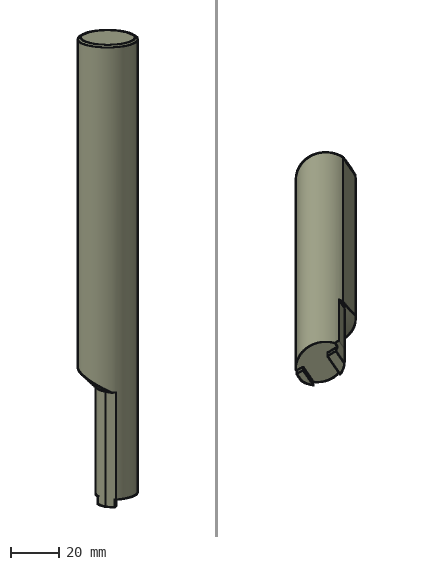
import cadquery as cq

length = 200
shank_radius = 12.5
shank_flat_y = 11.5
top_chamfer_width = 1.2
top_chamfer_height = 0.8

neck_height = 49.8
neck_radius = 23.0 / 2
neck_axis_x = 6.5
neck_flat_y = 10.5

prong_height = 3.5
prong_end_x = 6
slot_front_y = -7.5
slot_back_y = 4.5

relief_height = 7.5
relief_depth = 1.8

clearance = 2 * shank_radius


def box_between(x_min, x_max, y_min, y_max, z_min, z_max):
    size = (x_max - x_min, y_max - y_min, z_max - z_min)
    return cq.Workplane("XY").box(*size, centered=False).translate((x_min, y_min, z_min))


def make_shank():
    shank = cq.Workplane("XY").circle(shank_radius).extrude(length)
    shank = shank.faces(">Z").chamfer(top_chamfer_height, top_chamfer_width)
    return shank.cut(
        box_between(-clearance, clearance, shank_flat_y, clearance, 0, length)
    )


def make_neck_envelope():
    """Space kept by the neck cut: a flat-sided post opening into a 45 degree cone."""
    cone_rise = clearance
    post = cq.Workplane("XY").circle(neck_radius).extrude(neck_height)
    post = post.union(box_between(0, clearance, -clearance, clearance, 0, neck_height))
    post = post.intersect(
        box_between(-clearance, clearance, -neck_flat_y, neck_flat_y, 0, neck_height)
    )
    cone = cq.Workplane("XY").add(
        cq.Solid.makeCone(
            neck_radius,
            neck_radius + cone_rise,
            cone_rise,
            pnt=cq.Vector(0, 0, neck_height),
        )
    )
    return post.union(cone).translate((neck_axis_x, 0, 0))


def make_neck_cutter():
    cut_height = neck_height + shank_radius
    block = box_between(-clearance, clearance, -clearance, clearance, 0, cut_height)
    return block.cut(make_neck_envelope())


def make_prong_cutter():
    slot = box_between(-clearance, clearance, slot_front_y, slot_back_y, 0, prong_height)
    end = box_between(prong_end_x, clearance, -clearance, clearance, 0, prong_height)
    return slot.union(end)


def make_relief_cutter():
    return (
        cq.Workplane("YZ")
        .moveTo(neck_flat_y - relief_depth, 0)
        .lineTo(neck_flat_y, relief_height)
        .lineTo(clearance, relief_height)
        .lineTo(clearance, 0)
        .close()
        .extrude(clearance, both=True)
    )


result = (
    make_shank()
    .cut(make_neck_cutter())
    .cut(make_prong_cutter())
    .cut(make_relief_cutter())
)